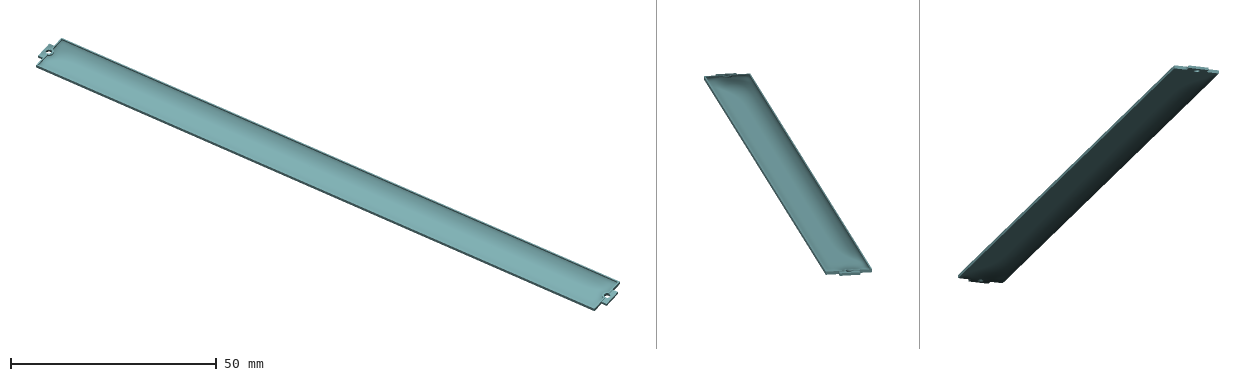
import cadquery as cq

overall_length = 163.8
strip_width = 11.5
overall_thickness = 0.8

rim_width = 0.3
recess_depth = 0.4

tab_reach = 1.5
tab_width = 5.0
tab_thickness = 0.64

hole_diameter = 1.5
ring_diameter = 2.5

strip_length = overall_length - 2 * tab_reach
floor_length = strip_length - 2 * rim_width
floor_width = strip_width - 2 * rim_width


def plate(length, width, thickness):
    """Flat plate centred on X and Y, with its underside at Z = 0."""
    return cq.Workplane("XY").box(length, width, thickness, centered=(True, True, False))


def end_cylinders(diameter):
    """Full-height cylinders on both end edges of the strip."""
    end_points = [(-strip_length / 2, 0), (strip_length / 2, 0)]
    return cq.Workplane("XY").pushPoints(end_points).circle(diameter / 2).extrude(overall_thickness)


strip = plate(strip_length, strip_width, overall_thickness)
tabs = plate(overall_length, tab_width, tab_thickness)

recess = (
    plate(floor_length, floor_width, overall_thickness)
    .cut(end_cylinders(ring_diameter))
    .translate((0, 0, overall_thickness - recess_depth))
)

result = strip.union(tabs).cut(recess).cut(end_cylinders(hole_diameter))